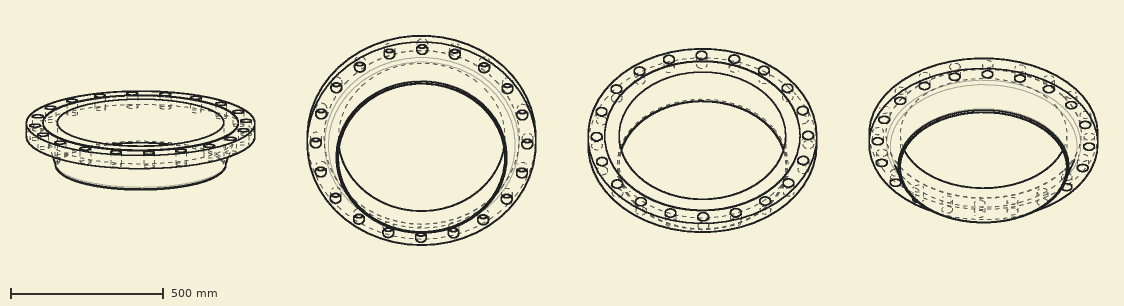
import cadquery as cq

total_height = 149.0
flange_radius = 375.0
flange_thickness = 45.0
raised_face_radius = 320.0
raised_face_height = 2.0
bore_radius = 273.0

hub_top_radius = 309.0
land_radius = 279.5
land_top = 11.0
bevel_size = 4.5
hub_fillet_radius = 13.0

bolt_count = 20
bolt_circle_radius = 346.0
bolt_hole_diameter = 35.0

flange_top = total_height - raised_face_height
flange_bottom = flange_top - flange_thickness


def revolved_body():
    """Ring made by revolving the half section, with the hub blended into the flange."""
    section = (
        cq.Workplane("XZ")
        .moveTo(bore_radius, 0)
        .lineTo(land_radius - bevel_size, 0)
        .lineTo(land_radius, bevel_size)
        .lineTo(land_radius, land_top)
        .lineTo(hub_top_radius, flange_bottom)
        .lineTo(flange_radius, flange_bottom)
        .lineTo(flange_radius, flange_top)
        .lineTo(raised_face_radius, flange_top)
        .lineTo(raised_face_radius, total_height)
        .lineTo(bore_radius, total_height)
        .close()
    )
    body = section.revolve(360, (0, 0, 0), (0, 1, 0))
    hub_corner = cq.selectors.RadiusNthSelector(0)
    flange_underside = cq.selectors.BoxSelector(
        (-flange_radius, -flange_radius, flange_bottom - hub_fillet_radius),
        (flange_radius, flange_radius, flange_bottom + hub_fillet_radius),
    )
    return body.edges("%CIRCLE").edges(flange_underside).edges(hub_corner).fillet(hub_fillet_radius)


def bolt_holes():
    """Cylinders that pierce the flange around the bolt circle."""
    return (
        cq.Workplane("XY")
        .workplane(offset=flange_bottom)
        .polarArray(bolt_circle_radius, 0, 360, bolt_count)
        .circle(bolt_hole_diameter / 2)
        .extrude(flange_thickness)
    )


result = revolved_body().cut(bolt_holes())